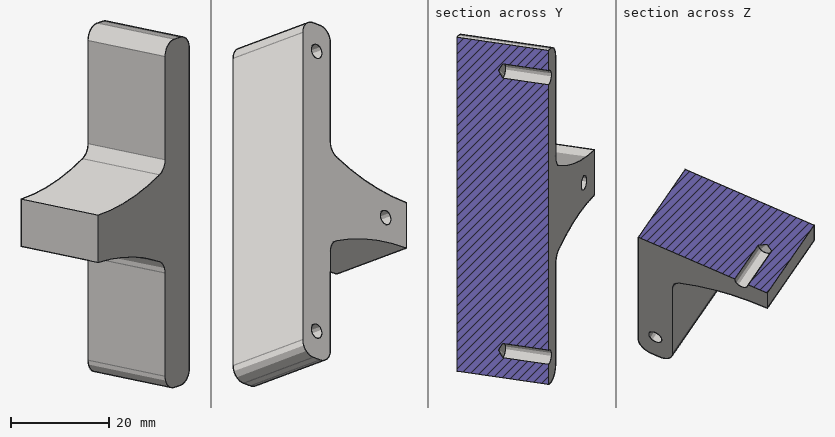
import cadquery as cq
import math

width = 20.0
plate_height = 73.5
plate_thickness = 8.0
overall_depth = 30.0
corner_radius = 3.0
tip_height = 10.0
flank_radius = 50.7
root_fillet_radius = 3.0
hole_diameter = 3.0
hole_depth = 10.0
drill_point_angle = 118.0
hole_inset = 6.0

plate_front = -plate_thickness
tip_y = -overall_depth
half_tip = tip_height / 2
arm_length = overall_depth - plate_thickness


def flank_half_height(distance_from_tip):
    """Half height of the arm on its circular flank."""
    return half_tip + flank_radius - math.sqrt(flank_radius**2 - distance_from_tip**2)


def make_plate():
    plate = cq.Workplane("XY").box(width, plate_thickness, plate_height)
    plate = plate.edges("|X").fillet(corner_radius)
    return plate.translate((0, -plate_thickness / 2, 0))


def make_arm():
    """Tapered arm, run back through the plate so that the two overlap."""
    half_root = flank_half_height(arm_length)
    half_mid = flank_half_height(arm_length / 2)
    mid_y = tip_y + arm_length / 2
    return (
        cq.Workplane("YZ")
        .moveTo(tip_y, -half_tip)
        .lineTo(tip_y, half_tip)
        .threePointArc((mid_y, half_mid), (plate_front, half_root))
        .lineTo(0, half_root)
        .lineTo(0, -half_root)
        .lineTo(plate_front, -half_root)
        .threePointArc((mid_y, -half_mid), (tip_y, -half_tip))
        .close()
        .extrude(width / 2, both=True)
    )


def fillet_roots(body):
    """Round the two inside corners where the arm meets the plate."""
    half_root = flank_half_height(arm_length)
    for side in (1, -1):
        corner = cq.selectors.NearestToPointSelector((0, plate_front, side * half_root))
        body = body.edges("|X").edges(corner).fillet(root_fillet_radius)
    return body


def make_drilled_hole(y, z):
    """Blind hole with a conical bottom, drilled from the -X face."""
    radius = hole_diameter / 2
    point_length = radius / math.tan(math.radians(drill_point_angle / 2))
    face_x = -width / 2
    hole_end = face_x + hole_depth
    return (
        cq.Workplane("XY")
        .moveTo(face_x, 0)
        .lineTo(face_x, radius)
        .lineTo(hole_end, radius)
        .lineTo(hole_end + point_length, 0)
        .close()
        .revolve(360, (0, 0, 0), (1, 0, 0))
        .translate((0, y, z))
    )


plate_hole_z = plate_height / 2 - hole_inset
hole_centers = [
    (-plate_thickness / 2, plate_hole_z),
    (-plate_thickness / 2, -plate_hole_z),
    (tip_y + hole_inset, 0),
]

result = fillet_roots(make_plate().union(make_arm()))
for hole_y, hole_z in hole_centers:
    result = result.cut(make_drilled_hole(hole_y, hole_z))